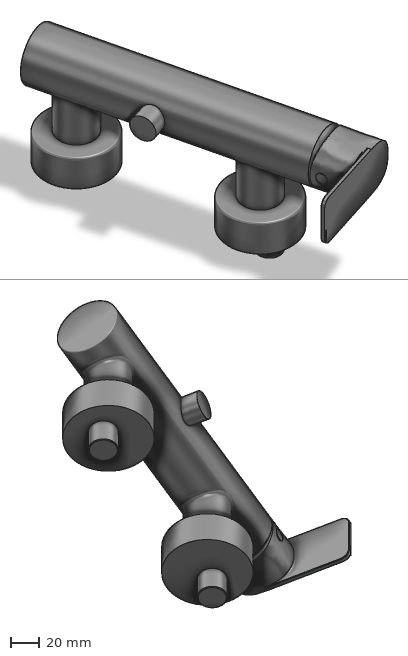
import cadquery as cq
import math


BODY_RADIUS = 24.25
BODY_LENGTH = 235.3
BODY_END_ROUND = 1.0

ROSETTE_RADIUS = 32.5
ROSETTE_TOP_Z = -57.1
ROSETTE_BOTTOM_Z = -85.0
ROSETTE_ROUND = 2.5
NECK_RADIUS = 17.3
NECK_JOINT_Z = -35.4
NECK_FILLET = 4.0
PIPE_RADIUS = 10.6
PIPE_BOTTOM_Z = -104.05
PIPE_END_CHAMFER = 0.6
PIPE_OFFSET = 7.5
CONNECTOR_SPACING = 150.0
LEFT_CONNECTOR_X = ROSETTE_RADIUS
RIGHT_CONNECTOR_X = LEFT_CONNECTOR_X + CONNECTOR_SPACING

OUTLET_X = (LEFT_CONNECTOR_X + RIGHT_CONNECTOR_X) / 2
OUTLET_RADIUS = 10.75
OUTLET_JOINT_Y = -28.8
OUTLET_END_Y = -37.1

COLLAR_START_RADIUS = 24.0
COLLAR_END_RADIUS = 20.0
COLLAR_LENGTH = 5.0

HANDLE_START_X = 236.6
HANDLE_END_X = 273.2
HANDLE_END_HALF_HEIGHT = 20.5
HANDLE_END_EXPONENT = 2.6
HANDLE_CROWN_RADIUS = 66.0
SECTION_POINTS = 32

PLATE_THICKNESS = 3.2
PLATE_HALF_HEIGHT = 20.7
PLATE_TIP_Y = -67.73
PLATE_CORNER_RADIUS = 7.0
PLATE_EDGE_CHAMFER = 0.5
PLATE_BACK_X = HANDLE_END_X - PLATE_THICKNESS
FLARE_RADIUS = 2.9
FLARE_ROOT_DEPTH = 0.3
FLARE_STEPS = 4

PAD_END_X = 273.56
PAD_TOP_Z = -6.9
PAD_BOTTOM_Z = -17.0
PAD_START_Y = -65.6
PAD_END_Y = -67.3

COVER_X = 246.2
COVER_RADIUS = 4.7
COVER_PROUD = 0.25


def cylinder_z(radius, x, bottom_z, top_z):
    return cq.Workplane("XY", origin=(x, 0, bottom_z)).circle(radius).extrude(top_z - bottom_z)


def cylinder_y(radius, x, end_y, start_y):
    """Cylinder along Y, from start_y out to end_y in the -Y direction."""
    return cq.Workplane("XZ", origin=(x, start_y, 0)).circle(radius).extrude(start_y - end_y)


def box_between(x_range, y_range, z_range):
    size = [high - low for low, high in (x_range, y_range, z_range)]
    corner = (x_range[0], y_range[0], z_range[0])
    return cq.Workplane("XY", origin=corner).box(*size, centered=False)


def make_body():
    body = cq.Workplane("YZ").circle(BODY_RADIUS).extrude(BODY_LENGTH)
    return body.faces("<X").edges().fillet(BODY_END_ROUND)


def add_neck(body, x):
    """Join the upper part of a neck to the body, with a fillet where they meet."""
    joined = body.union(cylinder_z(NECK_RADIUS, x, NECK_JOINT_Z, 0))
    reach = NECK_RADIUS + NECK_FILLET
    saddle = cq.selectors.BoxSelector(
        (x - reach, -reach, -BODY_RADIUS - NECK_FILLET), (x + reach, reach, 0), boundingbox=True
    )
    return joined.edges(saddle).fillet(NECK_FILLET)


def make_connector(x, pipe_x):
    """Lower neck, rosette and eccentric pipe of one wall connector."""
    neck = cylinder_z(NECK_RADIUS, x, ROSETTE_TOP_Z, NECK_JOINT_Z)
    rosette = cylinder_z(ROSETTE_RADIUS, x, ROSETTE_BOTTOM_Z, ROSETTE_TOP_Z)
    rosette = rosette.faces(">Z").edges().fillet(ROSETTE_ROUND)
    pipe = cylinder_z(PIPE_RADIUS, pipe_x, PIPE_BOTTOM_Z, ROSETTE_BOTTOM_Z)
    pipe = pipe.faces("<Z").edges().chamfer(PIPE_END_CHAMFER)
    return rosette.union(neck).union(pipe)


def make_collar():
    collar = cq.Workplane("YZ", origin=(BODY_LENGTH, 0, 0)).circle(COLLAR_START_RADIUS)
    return collar.workplane(offset=COLLAR_LENGTH).circle(COLLAR_END_RADIUS).loft()


def section_wire(x, half_width, half_height, exponent):
    """Closed superellipse in the plane X = x; an exponent of 2 gives an ellipse."""
    points = []
    for i in range(SECTION_POINTS):
        angle = 2 * math.pi * i / SECTION_POINTS
        c = math.cos(angle)
        s = math.sin(angle)
        y = math.copysign(half_width * abs(c) ** (2 / exponent), c)
        z = math.copysign(half_height * abs(s) ** (2 / exponent), s)
        points.append(cq.Vector(x, y, z))
    return cq.Wire.assembleEdges([cq.Edge.makeSpline(points, periodic=True)])


def end_section(x, growth=0.0):
    return section_wire(x, BODY_RADIUS + growth, HANDLE_END_HALF_HEIGHT + growth, HANDLE_END_EXPONENT)


def make_handle():
    start = section_wire(HANDLE_START_X, BODY_RADIUS, BODY_RADIUS, 2)
    handle = cq.Workplane(cq.Solid.makeLoft([start, end_section(HANDLE_END_X)], True))

    reach = 2 * BODY_RADIUS
    crown = cylinder_y(HANDLE_CROWN_RADIUS, HANDLE_START_X + HANDLE_CROWN_RADIUS, -reach, reach)

    plate_room = box_between((PLATE_BACK_X, HANDLE_END_X), (-reach, 0), (-reach, reach))
    return handle.intersect(crown).cut(plate_room)


def make_flare():
    """Hollow-curved flare that runs the -Y half of the handle out into the plate.

    It starts slightly below the handle surface so that the two surfaces cross cleanly.
    """
    sections = []
    for i in range(FLARE_STEPS + 1):
        angle = math.pi / 2 * i / FLARE_STEPS
        x = PLATE_BACK_X - FLARE_RADIUS + FLARE_RADIUS * math.sin(angle)
        growth = FLARE_RADIUS * (1 - math.cos(angle)) - FLARE_ROOT_DEPTH
        sections.append(end_section(x, growth))
    flare = cq.Workplane(cq.Solid.makeLoft(sections, False))
    band = box_between(
        (PLATE_BACK_X - FLARE_RADIUS, PLATE_BACK_X),
        (PLATE_TIP_Y, 0),
        (-PLATE_HALF_HEIGHT, PLATE_HALF_HEIGHT),
    )
    return flare.intersect(band)


def make_plate():
    plate = box_between(
        (PLATE_BACK_X, HANDLE_END_X), (PLATE_TIP_Y, 0), (-PLATE_HALF_HEIGHT, PLATE_HALF_HEIGHT)
    )
    plate = plate.faces("<Y").edges("|X").fillet(PLATE_CORNER_RADIUS)
    plate = plate.faces("<X").edges("not >Y").chamfer(PLATE_EDGE_CHAMFER)
    pad = box_between((HANDLE_END_X, PAD_END_X), (PAD_END_Y, PAD_START_Y), (PAD_BOTTOM_Z, PAD_TOP_Z))
    return plate.union(pad)


body = make_body()
for neck_x in (LEFT_CONNECTOR_X, RIGHT_CONNECTOR_X):
    body = add_neck(body, neck_x)

left_connector = make_connector(LEFT_CONNECTOR_X, LEFT_CONNECTOR_X - PIPE_OFFSET)
right_connector = make_connector(RIGHT_CONNECTOR_X, RIGHT_CONNECTOR_X + PIPE_OFFSET)
outlet_base = cylinder_y(OUTLET_RADIUS, OUTLET_X, OUTLET_JOINT_Y, 0)
outlet_end = cylinder_y(OUTLET_RADIUS, OUTLET_X, OUTLET_END_Y, OUTLET_JOINT_Y)
screw_cover = cylinder_y(COVER_RADIUS, COVER_X, -BODY_RADIUS - COVER_PROUD, -BODY_RADIUS / 2)

result = body
for piece in (
    left_connector,
    right_connector,
    outlet_base,
    outlet_end,
    make_collar(),
    make_handle(),
    make_flare(),
    make_plate(),
    screw_cover,
):
    result = result.union(piece, clean=False)